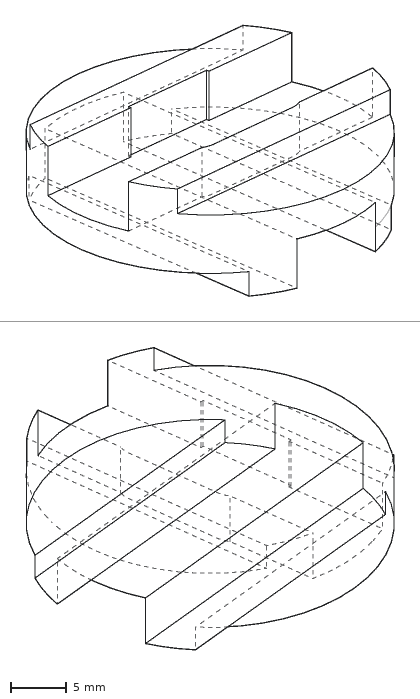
import cadquery as cq
import math

disc_diameter = 33.3
total_height = 10.92
slot_width = 10.15
slot_depth = 5.0
rib_outer_width = 18.5
rib_height = 2.5

relief_depth = 0.3
square_relief_length = 10.15
rounded_relief_length = 12.65
relief_end_radius = 2.5

disc_top = total_height / 2 - rib_height
slot_floor = total_height / 2 - slot_depth


def bar_along_y(width, bottom, height):
    """Bar centred on Z, running along Y past both edges of the disc."""
    return cq.Workplane("XY", origin=(0, 0, bottom)).rect(width, 2 * disc_diameter).extrude(height)


def cylinder(bottom, height):
    return cq.Workplane("XY", origin=(0, 0, bottom)).circle(disc_diameter / 2).extrude(height)


def to_underside(shape):
    """Turn a top feature over and a quarter turn about Z, so it runs along X."""
    return shape.rotate((0, 0, 0), (1, 0, 0), 180).rotate((0, 0, 0), (0, 0, 1), 90)


def rib_block():
    bar = bar_along_y(rib_outer_width, disc_top, rib_height)
    return bar.intersect(cylinder(disc_top, rib_height))


def slot():
    return bar_along_y(slot_width, slot_floor, slot_depth)


def square_relief():
    """Relief with square ends in the -X wall of the slot."""
    width = slot_width / 2 + relief_depth
    return (
        cq.Workplane("XY", origin=(-width / 2, 0, slot_floor))
        .rect(width, square_relief_length)
        .extrude(slot_depth)
    )


def rounded_relief():
    """Relief in the +X wall of the slot, each end an arc tangent to its flat back."""
    wall = slot_width / 2
    back = wall + relief_depth
    half_length = rounded_relief_length / 2
    half_flat = half_length - math.sqrt(relief_depth * (2 * relief_end_radius - relief_depth))
    arc_angle = math.acos(1 - relief_depth / relief_end_radius)
    mid_x = back - relief_end_radius * (1 - math.cos(arc_angle / 2))
    mid_y = half_flat + relief_end_radius * math.sin(arc_angle / 2)
    return (
        cq.Workplane("XY", origin=(0, 0, slot_floor))
        .moveTo(0, -half_length)
        .lineTo(wall, -half_length)
        .threePointArc((mid_x, -mid_y), (back, -half_flat))
        .lineTo(back, half_flat)
        .threePointArc((mid_x, mid_y), (wall, half_length))
        .lineTo(0, half_length)
        .close()
        .extrude(slot_depth)
    )


body = cylinder(-disc_top, 2 * disc_top)
body = body.union(rib_block()).union(to_underside(rib_block()))
body = body.cut(slot()).cut(to_underside(slot()))
result = body.cut(square_relief()).cut(rounded_relief())